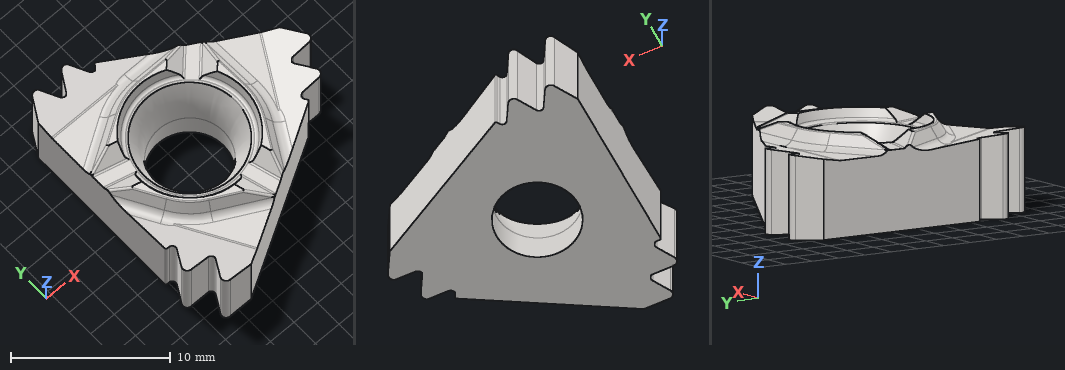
import cadquery as cq
import math

CORNERS = 3
CORNER_STEP = 360 / CORNERS
INSCRIBED_RADIUS = 6.35
NEXT_SIDE_DIRECTION = 60
TOTAL_HEIGHT = 6.05
LEDGE_HEIGHT = 5.25
FLOOR_HEIGHT = 4.96
FAR = 15.0

PITCH = 2.54
HALF_THREAD_ANGLE = 30
FLANK_SLOPE = 1 / math.tan(math.radians(HALF_THREAD_ANGLE))
TAPER = 1 / 32
FIRST_APEX = (-5.13, 9.27)
CREST_ROUND = 0.37
ROOT_ROUND = 0.29
SHOULDER_ROUND = 0.10

FOLD_DISTANCE = 5.91
RAKE_END = 9.02
RAKE_END_HEIGHT = 5.48
FOLD_ROUND = 0.7

BOSS_TOP_RADIUS = 4.81
BOSS_WALL_ANGLE = 57
BOSS_TOP_ROUND = 0.12
GROOVE_ROUND = 0.72
GROOVE_OUTER_RUN = 0.30
BOSS_ARC_START = 90
BOSS_ARC_SPAN = 32
BOSS_ARC_END = BOSS_ARC_START + BOSS_ARC_SPAN

WALL_TILT = math.radians(BOSS_WALL_ANGLE)
WALL_FOOT_HEIGHT = FLOOR_HEIGHT + GROOVE_ROUND * (1 - math.cos(WALL_TILT))
WALL_FOOT_RADIUS = BOSS_TOP_RADIUS + (TOTAL_HEIGHT - WALL_FOOT_HEIGHT) / math.tan(WALL_TILT)
GROOVE_RADIUS = WALL_FOOT_RADIUS + GROOVE_ROUND * math.sin(WALL_TILT)

HOLE_DIAMETER = 5.7
HOLE_RADIUS = HOLE_DIAMETER / 2
RECESS_TOP_RADIUS = 4.57
RECESS_BOTTOM_RADIUS = 4.27
RECESS_ROUND = 0.3
SEAT_RADIUS = 3.94
SEAT_EDGE_ROUND = 0.2
SEAT_DEPTH = 3.1

NOTCH_ANGLE = 166
NOTCH_FLOOR_HALF = 0.53
NOTCH_TOP_HALF = 1.6
NOTCH_FLOOR_ROUND = 0.25
NOTCH_EDGE_ROUND = 0.16
NOTCH_START = 3.0


def polar(radius, angle):
    """Point at the given radius and angle in the XY plane."""
    return (radius * math.cos(math.radians(angle)), radius * math.sin(math.radians(angle)))


def arc_point(centre, radius, angle):
    """Point on a circle at the given angle."""
    dx, dy = polar(radius, angle)
    return (centre[0] + dx, centre[1] + dy)


def turned(point, angle):
    """Point turned about the origin."""
    return polar(math.hypot(*point), math.degrees(math.atan2(point[1], point[0])) + angle)


def at_each_corner(shape):
    """The shape repeated at every corner."""
    return [shape.rotate((0, 0, 0), (0, 0, 1), i * CORNER_STEP) for i in range(CORNERS)]


def tooth_apex(index):
    """Sharp apex of a tooth on the corner pointing along +Y."""
    return (FIRST_APEX[0] + index * PITCH, FIRST_APEX[1] + index * PITCH * TAPER)


def root_after(index):
    """Sharp root between a tooth and the next one."""
    x1, y1 = tooth_apex(index)
    x2, y2 = tooth_apex(index + 1)
    x = (x1 + x2) / 2 - (y2 - y1) / (2 * FLANK_SLOPE)
    return (x, y1 - FLANK_SLOPE * (x - x1))


def corner_points():
    """Sharp outline points of one corner with their rounding radii, left to right."""
    first = tooth_apex(0)
    entry = (-INSCRIBED_RADIUS, first[1] - FLANK_SLOPE * (first[0] + INSCRIBED_RADIUS))
    last_root = root_after(1)
    normal = polar(1, NEXT_SIDE_DIRECTION)
    gap = INSCRIBED_RADIUS - last_root[0] * normal[0] - last_root[1] * normal[1]
    travel = gap / (normal[0] + FLANK_SLOPE * normal[1])
    shoulder = (last_root[0] + travel, last_root[1] + FLANK_SLOPE * travel)
    return [
        (entry, 0),
        (first, CREST_ROUND),
        (root_after(0), ROOT_ROUND),
        (tooth_apex(1), CREST_ROUND),
        (last_root, ROOT_ROUND),
        (shoulder, SHOULDER_ROUND),
    ]


def insert_blank():
    """Toothed triangular prism at full height."""
    corner = corner_points()
    points = []
    for i in range(CORNERS):
        points += [turned(p, -i * CORNER_STEP) for p, _ in corner]
    blank = cq.Workplane("XY").polyline(points).close().extrude(TOTAL_HEIGHT)
    for i in range(CORNERS):
        for p, radius in corner:
            if radius:
                x, y = turned(p, -i * CORNER_STEP)
                spot = cq.selectors.NearestToPointSelector((x, y, TOTAL_HEIGHT / 2))
                blank = blank.edges("|Z").edges(spot).fillet(radius)
    return blank


def boss_path(offset):
    """Boss outline facing one corner: straight run, arc about the bore, straight run."""
    start = polar(offset, BOSS_ARC_START)
    middle = polar(offset, BOSS_ARC_START + BOSS_ARC_SPAN / 2)
    end = polar(offset, BOSS_ARC_END)
    far_end = arc_point(end, FAR, BOSS_ARC_END + 90)
    path = cq.Workplane("XY").moveTo(FAR, offset).lineTo(*start)
    return path.threePointArc(middle, end).lineTo(*far_end)


def groove_cutter():
    """Space outside the boss wall, its rounded rim and its rounded foot."""
    foot_centre_z = FLOOR_HEIGHT + GROOVE_ROUND
    outer_z = foot_centre_z - math.sqrt(GROOVE_ROUND ** 2 - GROOVE_OUTER_RUN ** 2)
    outer = GROOVE_RADIUS + GROOVE_OUTER_RUN
    rim_setback = BOSS_TOP_ROUND * math.tan(math.radians(BOSS_WALL_ANGLE / 2))
    rim_centre = (BOSS_TOP_RADIUS - rim_setback, TOTAL_HEIGHT - BOSS_TOP_ROUND)
    profile = (
        cq.Workplane("YZ", origin=(FAR, 0, 0))
        .moveTo(rim_centre[0], TOTAL_HEIGHT)
        .threePointArc(
            arc_point(rim_centre, BOSS_TOP_ROUND, 90 - BOSS_WALL_ANGLE / 2),
            arc_point(rim_centre, BOSS_TOP_ROUND, 90 - BOSS_WALL_ANGLE),
        )
        .lineTo(WALL_FOOT_RADIUS, WALL_FOOT_HEIGHT)
        .threePointArc((GROOVE_RADIUS, FLOOR_HEIGHT), (outer, outer_z))
        .lineTo(outer, TOTAL_HEIGHT)
        .close()
    )
    return profile.sweep(boss_path(GROOVE_RADIUS))


def rake_cutter():
    """Space above the floor and the rising rake face, outside the groove line."""
    slope = (RAKE_END_HEIGHT - FLOOR_HEIGHT) / (RAKE_END - FOLD_DISTANCE)
    above = (
        cq.Workplane("YZ", origin=(-FAR, 0, 0))
        .moveTo(0, FLOOR_HEIGHT)
        .lineTo(FOLD_DISTANCE, FLOOR_HEIGHT)
        .lineTo(FAR, FLOOR_HEIGHT + slope * (FAR - FOLD_DISTANCE))
        .lineTo(FAR, FAR)
        .lineTo(0, FAR)
        .close()
        .extrude(2 * FAR)
    )
    fold = cq.selectors.NearestToPointSelector((0, FOLD_DISTANCE, FLOOR_HEIGHT))
    above = above.edges("|X").edges(fold).fillet(FOLD_ROUND)
    inside = boss_path(GROOVE_RADIUS).lineTo(FAR, -FAR).close().extrude(FAR)
    return above.cut(inside)


def bore_cutter():
    """Recess, ledge, flared screw seat and through hole."""
    seat_spread = SEAT_RADIUS - HOLE_RADIUS
    seat_base = LEDGE_HEIGHT - SEAT_DEPTH
    flare_radius = (seat_spread ** 2 + SEAT_DEPTH ** 2) / (2 * seat_spread)
    flare_sweep = math.degrees(math.asin(SEAT_DEPTH / flare_radius))
    flare_centre = (HOLE_RADIUS + flare_radius, seat_base)
    flare_middle = arc_point(flare_centre, flare_radius, 180 - flare_sweep / 2)
    cutter = (
        cq.Workplane("XZ")
        .lineTo(HOLE_RADIUS, 0)
        .lineTo(HOLE_RADIUS, seat_base)
        .threePointArc(flare_middle, (SEAT_RADIUS, LEDGE_HEIGHT))
        .lineTo(RECESS_BOTTOM_RADIUS, LEDGE_HEIGHT)
        .lineTo(RECESS_TOP_RADIUS, TOTAL_HEIGHT)
        .lineTo(0, TOTAL_HEIGHT)
        .close()
        .revolve(360, (0, 0, 0), (0, 1, 0))
    )
    for radius, rounding in ((SEAT_RADIUS, SEAT_EDGE_ROUND), (RECESS_BOTTOM_RADIUS, RECESS_ROUND)):
        spot = cq.Vertex.makeVertex(radius, 0, LEDGE_HEIGHT)
        ledge_edge = min(cutter.edges("%CIRCLE").vals(), key=spot.distance)
        cutter = cutter.newObject([ledge_edge]).fillet(rounding)
    return cutter


def notch_cutter():
    """Flat-bottomed radial notch with flared sides."""
    notch = (
        cq.Workplane("YZ", origin=(NOTCH_START, 0, 0))
        .moveTo(-NOTCH_FLOOR_HALF, LEDGE_HEIGHT)
        .lineTo(NOTCH_FLOOR_HALF, LEDGE_HEIGHT)
        .lineTo(NOTCH_TOP_HALF, TOTAL_HEIGHT)
        .lineTo(-NOTCH_TOP_HALF, TOTAL_HEIGHT)
        .close()
        .extrude(FAR)
    )
    notch = notch.edges("|X").edges("<Z").fillet(NOTCH_FLOOR_ROUND)
    return notch.rotate((0, 0, 0), (0, 0, 1), NOTCH_ANGLE)


def tilted_normal(direction, slope_angle):
    """Unit normal of a face that falls away in a direction, sloping from horizontal."""
    x, y = polar(math.sin(math.radians(slope_angle)), direction)
    return cq.Vector(x, y, math.cos(math.radians(slope_angle)))


def notch_edge_cutter(wall_direction, side):
    """Sliver that rounds the ridge between a boss wall and one side of the notch."""
    side_slope = math.degrees(math.atan2(TOTAL_HEIGHT - LEDGE_HEIGHT, NOTCH_TOP_HALF - NOTCH_FLOOR_HALF))
    wall = tilted_normal(wall_direction, BOSS_WALL_ANGLE)
    flank = tilted_normal(NOTCH_ANGLE - side * 90, side_slope)
    ridge = wall.cross(flank).normalized()
    if ridge.z < 0:
        ridge = -ridge

    edge_offset = cq.Vector(*polar(NOTCH_TOP_HALF, NOTCH_ANGLE + side * 90))
    outward = cq.Vector(*polar(1, NOTCH_ANGLE))
    facing = cq.Vector(*polar(1, wall_direction))
    reach = (BOSS_TOP_RADIUS - edge_offset.dot(facing)) / outward.dot(facing)
    top = edge_offset + outward * reach + cq.Vector(0, 0, TOTAL_HEIGHT)

    inward = (wall + flank).normalized() * -1
    half_turn = wall.getAngle(flank) / 2
    centre_depth = NOTCH_EDGE_ROUND / math.cos(half_turn)
    overshoot = NOTCH_EDGE_ROUND
    length = (TOTAL_HEIGHT - WALL_FOOT_HEIGHT) / ridge.z
    section = cq.Plane(origin=top + ridge * overshoot, xDir=inward, normal=ridge * -1)
    touch_x = centre_depth - NOTCH_EDGE_ROUND * math.cos(half_turn)
    touch_y = NOTCH_EDGE_ROUND * math.sin(half_turn)
    return (
        cq.Workplane(section)
        .lineTo(touch_x, touch_y)
        .threePointArc((centre_depth - NOTCH_EDGE_ROUND, 0), (touch_x, -touch_y))
        .close()
        .extrude(length + overshoot)
    )


def build_insert():
    """Toothed blank with the rake faces, boss, notches and bore cut into it."""
    corner_cutters = [
        groove_cutter(),
        rake_cutter(),
        notch_cutter(),
        notch_edge_cutter(BOSS_ARC_END, -1),
        notch_edge_cutter(BOSS_ARC_START + CORNER_STEP, 1),
    ]
    insert = insert_blank()
    for corner_cutter in corner_cutters:
        for cutter in at_each_corner(corner_cutter):
            insert = insert.cut(cutter)
    return insert.cut(bore_cutter())


result = build_insert()